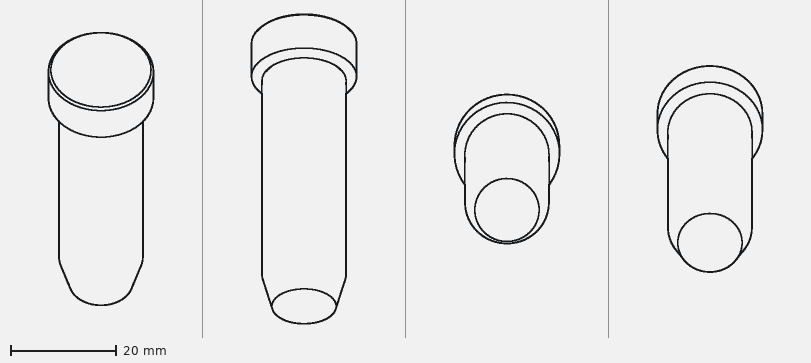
import cadquery as cq
import math

total_length = 60.0
head_diameter = total_length / 3
head_height = 0.4 * head_diameter
shank_diameter = 0.8 * head_diameter
head_chamfer = 0.5

neck_diameter = 15.0
groove_radius = 0.3
undercut_angle = math.radians(45)

tip_height = 7.0
tip_half_angle = math.radians(15)

head_radius = head_diameter / 2
shank_radius = shank_diameter / 2
neck_radius = neck_diameter / 2
tip_radius = shank_radius - tip_height * math.tan(tip_half_angle)
head_bottom = total_length - head_height

groove_center_r = neck_radius + groove_radius
groove_center_z = head_bottom - groove_radius
groove_end_r = groove_center_r - groove_radius * math.cos(undercut_angle)
groove_end_z = groove_center_z - groove_radius * math.sin(undercut_angle)
shank_top = groove_end_z - (shank_radius - groove_end_r) / math.tan(undercut_angle)

half_profile = (
    cq.Workplane("XZ")
    .lineTo(tip_radius, 0)
    .lineTo(shank_radius, tip_height)
    .lineTo(shank_radius, shank_top)
    .lineTo(groove_end_r, groove_end_z)
    .threePointArc((neck_radius, groove_center_z), (groove_center_r, head_bottom))
    .lineTo(head_radius, head_bottom)
    .lineTo(head_radius, total_length)
    .lineTo(0, total_length)
    .close()
)
pin = half_profile.revolve(360, (0, 0, 0), (0, 1, 0))

result = pin.faces(">Z").edges().chamfer(head_chamfer)